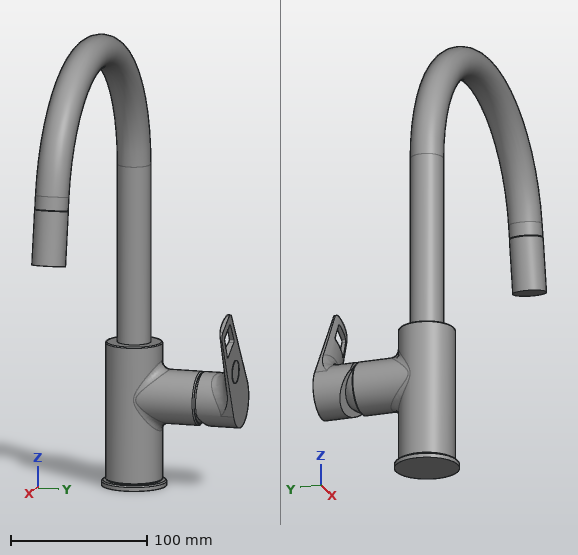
import cadquery as cq
import math

flange_diameter = 48.0
flange_height = 4.0
flange_chamfer = 1.0
groove_diameter = 40.0
groove_height = 1.0
body_bottom = flange_height + groove_height
body_diameter = 42.0
body_top = 107.5
body_chamfer = 0.8

overall_height = 357.04
overall_reach = 227.41
tube_diameter = 24.8
tube_seat_depth = 1.0
head_diameter = 25.0
bend_radius = 103.9
bend_end_tilt = 10.0
collar_length = 10.0
joint_depth = 0.3
joint_width = 0.6

arm_diameter = 40.0
arm_height = 68.0
arm_end = 51.5
arm_chamfer = 1.0
arm_root_fillet = 6.0
dome_radius = 19.0
dome_center = 46.3

handle_tilt = 30.0
cap_diameter = 40.0
cap_start = 53.2
cap_slope = 26.0
handle_face = 81.84
badge_diameter = 17.0
badge_thickness = 0.5
badge_distance = 28.5
lever_length = 75.0
lever_taper = 5.0
lever_corner_radius = 5.0
lever_tip_thickness = 3.3
lever_root_thickness = 7.8
crown_radius = 42.0
lever_root_fillet = 13.0
window_bottom = 50.0
window_top = 68.2
window_margin = 5.9
window_corner_radius = 1.5

selection_margin = 1.0


def cylinder_along_y(diameter, start, end):
    """Cylinder on the Y axis between two Y positions."""
    return cq.Workplane("XZ", origin=(0, start, 0)).circle(diameter / 2).extrude(start - end)


def make_base():
    flange = cq.Workplane("XY").circle(flange_diameter / 2).extrude(flange_height)
    flange = flange.faces(">Z").edges().chamfer(flange_chamfer)
    groove = cq.Workplane("XY").circle(groove_diameter / 2).extrude(body_bottom)
    return flange.union(groove)


def make_body_with_arm():
    body = cq.Workplane("XY", origin=(0, 0, body_bottom)).circle(body_diameter / 2)
    body = body.extrude(body_top - body_bottom)
    body = body.faces(">Z").edges().chamfer(body_chamfer)
    arm = cylinder_along_y(arm_diameter, 0, arm_end).faces(">Y").edges().chamfer(arm_chamfer)
    joined = body.union(arm.translate((0, 0, arm_height)))
    reach = body_diameter / 2 + selection_margin
    around_root = cq.selectors.BoxSelector(
        (-reach, 0, arm_height - reach), (reach, reach, arm_height + reach)
    )
    return joined.edges(around_root).edges("not #Z").fillet(arm_root_fillet)


def make_spout():
    tilt = math.radians(bend_end_tilt)
    seat_height = body_top - tube_seat_depth
    bend_height = overall_height - tube_diameter / 2 - bend_radius
    bend_end_x = bend_radius * (1 + math.cos(tilt))
    bend_end_z = bend_height + bend_radius * math.sin(tilt)
    head_end_x = overall_reach - head_diameter / 2 * math.cos(tilt)
    straight_length = (head_end_x - bend_end_x) / math.sin(tilt)

    path = (
        cq.Workplane("XZ")
        .moveTo(0, seat_height)
        .lineTo(0, bend_height)
        .threePointArc((bend_radius, bend_height + bend_radius), (bend_end_x, bend_end_z))
    )
    tube = cq.Workplane("XY", origin=(0, 0, seat_height)).circle(tube_diameter / 2).sweep(path)

    outlet = cq.Plane(
        origin=(bend_end_x, 0, bend_end_z),
        xDir=(0, 1, 0),
        normal=(math.sin(tilt), 0, -math.cos(tilt)),
    )
    neck = cq.Workplane(outlet).circle(tube_diameter / 2 - joint_depth).extrude(straight_length)
    collar = cq.Workplane(outlet).circle(tube_diameter / 2).extrude(collar_length)
    head_start = collar_length + joint_width
    head = (
        cq.Workplane(outlet)
        .workplane(offset=head_start)
        .circle(head_diameter / 2)
        .extrude(straight_length - head_start)
    )
    return tube.union(neck).union(collar).union(head)


def half_width(distance):
    """Half width of the lever, whose sides are tangent to the cap."""
    taper = math.radians(lever_taper)
    return cap_diameter / 2 / math.cos(taper) - distance * math.tan(taper)


def make_tapered_block(bottom, top, margin):
    """Symmetric block that follows the lever sides, inset by a margin, over the full handle depth."""
    low = half_width(bottom) - margin
    high = half_width(top) - margin
    return (
        cq.Workplane("XZ", origin=(0, handle_face, 0))
        .polyline([(-low, bottom), (low, bottom), (high, top), (-high, top)])
        .close()
        .extrude(handle_face - cap_start)
    )


def make_filleted_cap():
    """Cap running into a large, slightly inclined bar whose crowned side is the lever underside."""
    root_y = handle_face - lever_root_thickness
    tip_y = handle_face - lever_tip_thickness
    incline = math.degrees(math.atan((tip_y - root_y) / lever_length))
    bar = (
        cq.Workplane("XY")
        .circle(crown_radius)
        .extrude(2 * lever_length, both=True)
        .translate((0, crown_radius, 0))
        .rotate((0, 0, 0), (1, 0, 0), -incline)
        .translate((0, root_y, 0))
    )
    cap = cylinder_along_y(cap_diameter, cap_start, handle_face + crown_radius / 2)
    joined = cap.union(bar)
    root = cq.selectors.BoxSelector(
        (-cap_diameter, cap_start + selection_margin, -cap_diameter),
        (cap_diameter, handle_face, cap_diameter),
    )
    return joined.edges(root).edges("%BSPLINE").fillet(lever_root_fillet)


def make_cap_relief():
    """Wedge that slopes the rim of the cap away from the arm on the side opposite the lever."""
    radius = cap_diameter / 2
    rise = radius * math.tan(math.radians(cap_slope))
    return (
        cq.Workplane("YZ")
        .polyline([(cap_start, 0), (cap_start + rise, -radius), (cap_start, -radius)])
        .close()
        .extrude(cap_diameter, both=True)
    )


def make_lever():
    tangent_height = cap_diameter / 2 * math.sin(math.radians(lever_taper))
    block = make_tapered_block(tangent_height, lever_length, 0)
    block = block.edges("|Y").edges(">Z").fillet(lever_corner_radius)
    window = make_tapered_block(window_bottom, window_top, window_margin)
    window = window.edges("|Y").fillet(window_corner_radius)
    return block.intersect(make_filleted_cap()).cut(window)


def make_dome():
    """Rounded neck joining the arm to the cap."""
    ball = cq.Workplane("XY").sphere(dome_radius).translate((0, dome_center, 0))
    return ball.intersect(cylinder_along_y(cap_diameter, dome_center, handle_face))


def make_badge():
    """Thin round pad raised on the outer face of the lever."""
    return (
        cq.Workplane("XZ", origin=(0, handle_face, 0))
        .center(0, badge_distance)
        .circle(badge_diameter / 2)
        .extrude(-badge_thickness)
    )


def make_handle():
    cap = cylinder_along_y(cap_diameter, cap_start, handle_face)
    handle = cap.union(make_lever()).cut(make_cap_relief())
    handle = handle.union(make_dome()).union(make_badge())
    return handle.rotate((0, 0, 0), (0, 1, 0), handle_tilt).translate((0, 0, arm_height))


result = make_base().union(make_body_with_arm()).union(make_spout()).union(make_handle())